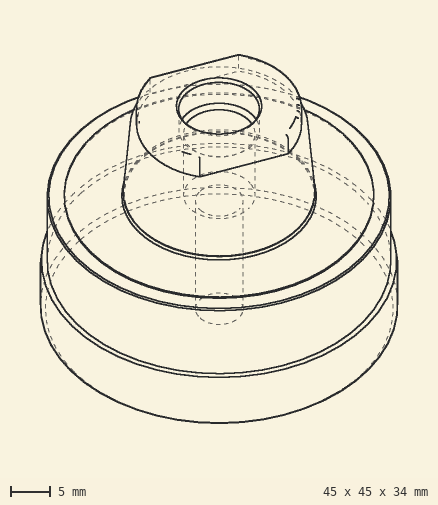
import cadquery as cq
import math

flange_radius = 22.508
flange_top = 8.1
flange_bottom_chamfer = 0.6
flange_top_taper_height = 1.0
flange_top_taper_width = 0.14

body_radius = 21.65
body_top = 18.85
body_edge_chamfer = 0.2
pad_radius = 19.5
pad_top = 19.05

groove_outer_radius = 12.75
groove_slope_width = 0.5
groove_depth = 0.15
groove_fillet = 0.3

boss_foot_radius = 12.07
boss_foot_bottom = 19.4
boss_taper_bottom = 20.0
boss_top_radius = 11.17
boss_top = 30.95
boss_edge_fillet = 0.4

cap_radius = 10.4
cap_flat_width = 17.0
cap_top = 33.95
cap_edge_fillet = 0.5

bore_mouth_radius = 5.37
bore_mouth_depth = 0.5
bore_upper_radius = 5.08
bore_upper_depth = 4.0
bore_middle_radius = 4.5
bore_step_depth = bore_upper_depth + bore_upper_radius - bore_middle_radius
bore_middle_depth = cap_top - pad_top
bore_lower_radius = 3.0
drill_point_angle = 118.0
bore_cone_height = (bore_middle_radius - bore_lower_radius) / math.tan(math.radians(drill_point_angle / 2))


def revolve_about_z(outline):
    """Revolve a closed XZ-plane outline around the Z axis."""
    return outline.revolve(360, (0, 0, 0), (0, 1, 0))


def make_turned_body():
    fillet_center_radius = groove_outer_radius - groove_slope_width
    groove_bottom = pad_top - groove_depth
    fillet_center_height = groove_bottom + groove_fillet
    fillet_mid_offset = groove_fillet * math.sqrt(0.5)

    outline = (
        cq.Workplane("XZ")
        .moveTo(0, 0)
        .lineTo(flange_radius - flange_bottom_chamfer, 0)
        .lineTo(flange_radius, flange_bottom_chamfer)
        .lineTo(flange_radius, flange_top - flange_top_taper_height)
        .lineTo(flange_radius - flange_top_taper_width, flange_top)
        .lineTo(body_radius, flange_top)
        .lineTo(body_radius, body_top - body_edge_chamfer)
        .lineTo(body_radius - body_edge_chamfer, body_top)
        .lineTo(pad_radius, body_top)
        .lineTo(pad_radius, pad_top)
        .lineTo(groove_outer_radius, pad_top)
        .lineTo(fillet_center_radius, groove_bottom)
        .threePointArc(
            (fillet_center_radius - fillet_mid_offset, fillet_center_height - fillet_mid_offset),
            (fillet_center_radius - groove_fillet, fillet_center_height),
        )
        .lineTo(boss_foot_radius, boss_foot_bottom)
        .lineTo(boss_foot_radius, boss_taper_bottom)
        .lineTo(boss_top_radius, boss_top)
        .lineTo(0, boss_top)
        .close()
    )
    return revolve_about_z(outline).faces(">Z").edges().fillet(boss_edge_fillet)


def make_cap():
    height = cap_top - boss_top
    disc = cq.Workplane("XY").workplane(offset=boss_top).circle(cap_radius).extrude(height)
    flats = (
        cq.Workplane("XY")
        .workplane(offset=boss_top)
        .rect(cap_flat_width, 2 * cap_radius)
        .extrude(height)
    )
    return disc.intersect(flats).faces(">Z").edges().fillet(cap_edge_fillet)


def make_bore():
    outline = (
        cq.Workplane("XZ")
        .moveTo(0, 0)
        .lineTo(bore_lower_radius, 0)
        .lineTo(bore_lower_radius, cap_top - bore_middle_depth - bore_cone_height)
        .lineTo(bore_middle_radius, cap_top - bore_middle_depth)
        .lineTo(bore_middle_radius, cap_top - bore_step_depth)
        .lineTo(bore_upper_radius, cap_top - bore_upper_depth)
        .lineTo(bore_upper_radius, cap_top - bore_mouth_depth)
        .lineTo(bore_mouth_radius, cap_top)
        .lineTo(0, cap_top)
        .close()
    )
    return revolve_about_z(outline)


result = make_turned_body().union(make_cap()).cut(make_bore())